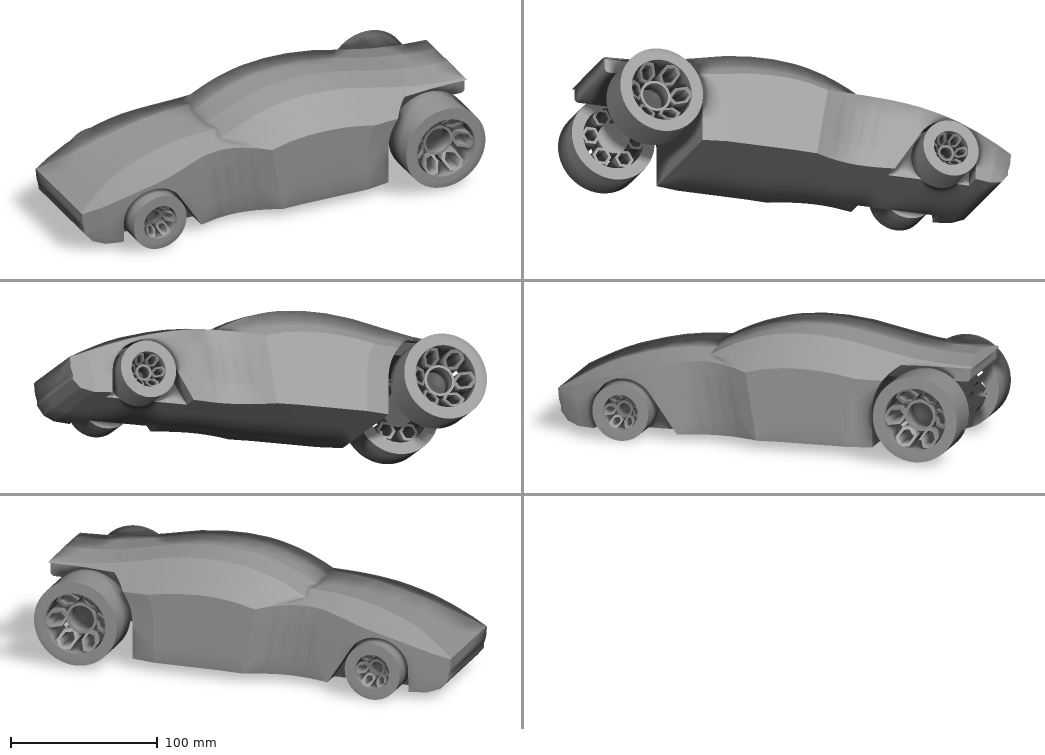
import cadquery as cq
import math


OVERALL_WIDTH = 125.7

REAR_TIRE_RADIUS = 30.0
REAR_RIM_RADIUS = 23.7
REAR_WHEEL_Y = 115.5
REAR_WHEEL_Z = 32.2
REAR_WHEEL_INNER_X = 35.0
REAR_WHEEL_OUTER_X = OVERALL_WIDTH / 2
REAR_HEX_CIRCLE = 16.0
REAR_HEX_OUTER = 11.7
REAR_HEX_INNER = 8.0
REAR_HUB_RADIUS = 10.8
REAR_BORE_RADIUS = 9.0
REAR_HUB_RECESS = 12.3
REAR_RIM_WALL = 2.0

FRONT_TIRE_RADIUS = 20.0
FRONT_RIM_RADIUS = 13.8
FRONT_WHEEL_Y = -96.5
FRONT_WHEEL_Z = FRONT_TIRE_RADIUS
FRONT_WHEEL_INNER_X = 30.5
FRONT_WHEEL_OUTER_X = 55.5
FRONT_HEX_CIRCLE = 9.0
FRONT_HEX_OUTER = 7.0
FRONT_HEX_INNER = 4.5
FRONT_HUB_RADIUS = 6.0
FRONT_BORE_RADIUS = 4.0
FRONT_HUB_RECESS = 10.0
FRONT_RIM_WALL = 1.5
FRONT_AXLE_HOLE_RADIUS = 1.8

SPOKE_COUNT = 6
HEX_SIDES = 6
HEX_CORNER_RATIO = 2 / math.sqrt(3)
SPOKE_RECESS = 1.5
HUB_FLOOR = 2.3

HALF_WIDTH = 49.8
REACH = 175.8
SECTION_X = 58.5
TOOL_BOTTOM = -58.5
TOOL_TOP = 88.0

CANOPY_SPINE = [
    (152.5, 67.7), (123.0, 68.3), (98.8, 71.2), (77.5, 75.5), (58.5, 79.5), (30.8, 81.8),
    (3.0, 79.5), (-23.5, 71.0), (-39.3, 62.7), (-58.5, 51.0),
]
CANOPY_FLAT_X = 10.3
CANOPY_RIDGE_X = 30.5
CANOPY_RIDGE_DROP = 3.5
CANOPY_SIDE_SLOPE = 1.02

HOOD_SPINE = [
    (0.0, 60.7), (-38.7, 61.8), (-52.8, 61.3), (-71.5, 59.0), (-92.0, 54.0), (-112.8, 47.0),
    (-126.3, 40.5), (-146.5, 29.0), (-152.5, 25.5),
]
HOOD_SHARED_POINTS = 4
HOOD_SIDE_SPINE = HOOD_SPINE[:HOOD_SHARED_POINTS] + [
    (-92.0, 54.2), (-112.8, 47.8), (-126.3, 42.2), (-146.5, 33.0), (-152.5, 30.2),
]
HOOD_CREASE_X = 20.0
HOOD_SIDE_SLOPE = 0.27

PLAN_Z = 52.8
PLAN_LEAN = 0.17
WAIST = [
    (HALF_WIDTH, -9.5), (43.7, -23.5), (40.2, -41.0), (42.0, -60.0), (46.0, -77.0),
    (47.5, -92.3), (44.8, -120.7), (41.0, -138.3),
]
NOSE_TIP = (35.8, -153.0)

DECK_Z = 62.7
TAIL_Y = 146.5
TAIL_SLOPE = 0.85
TAIL_BLOCK_Y = 145.0
TAIL_BLOCK_HALF_WIDTH = 30.5
TAIL_BLOCK_Z = 53.0
TAIL_BLOCK_ROUND = 3.0
NOSE = [(-146.5, 29.0), (-146.0, 21.0), (-144.5, 16.7), (-144.5, 13.2), (-139.2, 7.0), (-130.7, 4.5)]
FLOOR_FRONT = (-61.5, 4.5)
FLOOR_REAR_Z = 6.2
FLOOR_REAR_Y = 14.7

ARCH_RADIUS = 35.5
FLARE_RADIUS = 52.2
FLARE_DEPTH = 3.2
WELL_RADIUS = 22.0
WELL_FOOT_Y = -59.8


def side_face_wire(spine, x, lift):
    """Closed wire in the plane at x: a smooth spine on top, straight down to TOOL_BOTTOM."""
    points = [cq.Vector(x, y, z + lift) for y, z in spine]
    first, last = points[0], points[-1]
    low_last = cq.Vector(x, last.y, TOOL_BOTTOM)
    low_first = cq.Vector(x, first.y, TOOL_BOTTOM)
    return cq.Wire.assembleEdges([
        cq.Edge.makeSpline(points),
        cq.Edge.makeLine(last, low_last),
        cq.Edge.makeLine(low_last, low_first),
        cq.Edge.makeLine(low_first, first),
    ])


def roof_strip(spine, x_start, x_end, lift, slope):
    """Solid under a spine that starts at x_start, raised by lift, and falls by slope toward x_end."""
    width = x_end - x_start
    wire = side_face_wire(spine, x_start, lift)
    return cq.Workplane(cq.Solid.extrudeLinear(wire, [], cq.Vector(width, 0, -slope * width)))


def canopy():
    solid = roof_strip(CANOPY_SPINE, -CANOPY_FLAT_X, CANOPY_FLAT_X, 0, 0)
    shallow_slope = CANOPY_RIDGE_DROP / (CANOPY_RIDGE_X - CANOPY_FLAT_X)
    strips = [
        roof_strip(CANOPY_SPINE, CANOPY_FLAT_X, CANOPY_RIDGE_X, 0, shallow_slope),
        roof_strip(CANOPY_SPINE, CANOPY_RIDGE_X, SECTION_X, -CANOPY_RIDGE_DROP, CANOPY_SIDE_SLOPE),
    ]
    for strip in strips:
        solid = solid.union(strip).union(strip.mirror("YZ"))
    return solid


def hood():
    centre = roof_strip(HOOD_SPINE, -SECTION_X, SECTION_X, 0, 0)
    lift = HOOD_SIDE_SLOPE * (SECTION_X + HOOD_CREASE_X)
    side = roof_strip(HOOD_SIDE_SPINE, -SECTION_X, SECTION_X, lift, HOOD_SIDE_SLOPE)
    return centre.intersect(side).intersect(side.mirror("YZ"))


def plan_prism():
    """The plan outline carried down along the lean of the side walls."""
    shift = PLAN_LEAN * (TOOL_TOP - PLAN_Z)
    right = [(x, y - shift) for x, y in WAIST]
    left = [(-x, y) for x, y in reversed(right)]
    nose_x, nose_y = NOSE_TIP
    outline = (
        cq.Workplane("XY", origin=(0, 0, TOOL_TOP))
        .moveTo(HALF_WIDTH, REACH)
        .lineTo(*right[0])
        .spline(right[1:], includeCurrent=True)
        .lineTo(nose_x, nose_y - shift)
        .lineTo(-nose_x, nose_y - shift)
        .lineTo(*left[0])
        .spline(left[1:], includeCurrent=True)
        .lineTo(-HALF_WIDTH, REACH)
        .close()
        .val()
    )
    direction = cq.Vector(0, PLAN_LEAN * TOOL_TOP, -TOOL_TOP)
    return cq.Workplane(cq.Solid.extrudeLinear(outline, [], direction))


def side_prism():
    """The side outline carried across the full width."""
    round_y = TAIL_BLOCK_Y - TAIL_BLOCK_ROUND
    outline = (
        cq.Workplane("YZ", origin=(-SECTION_X, 0, 0))
        .moveTo(TAIL_Y - TAIL_SLOPE * (TOOL_TOP - DECK_Z), TOOL_TOP)
        .lineTo(TAIL_Y, DECK_Z)
        .lineTo(TAIL_BLOCK_Y, DECK_Z)
        .lineTo(TAIL_BLOCK_Y, TAIL_BLOCK_Z + TAIL_BLOCK_ROUND)
        .radiusArc((round_y, TAIL_BLOCK_Z), TAIL_BLOCK_ROUND)
        .lineTo(round_y, FLOOR_REAR_Z)
        .lineTo(FLOOR_REAR_Y, FLOOR_REAR_Z)
        .lineTo(*FLOOR_FRONT)
    )
    for point in reversed(NOSE):
        outline = outline.lineTo(*point)
    return outline.lineTo(NOSE[0][0], TOOL_TOP).close().extrude(2 * SECTION_X)


def arch_outline(plane, radius, ceiling):
    """Wheel arch outline: front wall, quarter-round over the wheel, flat ceiling to the rear."""
    rise = ceiling - REAR_WHEEL_Z
    end_angle = math.acos(rise / radius)
    mid_angle = (end_angle + math.pi / 2) / 2

    def on_arc(angle):
        return REAR_WHEEL_Y - radius * math.sin(angle), REAR_WHEEL_Z + radius * math.cos(angle)

    return (
        plane.moveTo(REAR_WHEEL_Y - radius, TOOL_BOTTOM)
        .lineTo(REAR_WHEEL_Y - radius, REAR_WHEEL_Z)
        .threePointArc(on_arc(mid_angle), on_arc(end_angle))
        .lineTo(REACH, ceiling)
        .lineTo(REACH, TOOL_BOTTOM)
        .close()
    )


def rear_arch_tools():
    """Space around the rear wheels, below the tail block, and the flares at the arch mouths."""
    under_block = arch_outline(
        cq.Workplane("YZ", origin=(-SECTION_X, 0, 0)), ARCH_RADIUS, TAIL_BLOCK_Z
    ).extrude(2 * SECTION_X)
    beside_block = arch_outline(
        cq.Workplane("YZ", origin=(TAIL_BLOCK_HALF_WIDTH, 0, 0)), ARCH_RADIUS, DECK_Z
    ).extrude(SECTION_X - TAIL_BLOCK_HALF_WIDTH)
    mouth = arch_outline(
        cq.Workplane("YZ", origin=(HALF_WIDTH - FLARE_DEPTH, 0, 0)), ARCH_RADIUS, DECK_Z
    )
    flare = arch_outline(
        mouth.workplane(offset=FLARE_DEPTH), FLARE_RADIUS, DECK_Z
    ).loft(ruled=True)
    return [under_block, beside_block, beside_block.mirror("YZ"), flare, flare.mirror("YZ")]


def wheel_well():
    """Right front wheel well: round over the wheel, a tangent slope behind, upright ahead."""
    foot_dy = WELL_FOOT_Y - FRONT_WHEEL_Y
    foot_dz = FLOOR_FRONT[1] - FRONT_WHEEL_Z
    tangent_angle = math.atan2(foot_dz, foot_dy) + math.acos(WELL_RADIUS / math.hypot(foot_dy, foot_dz))
    tangent = (
        FRONT_WHEEL_Y + WELL_RADIUS * math.cos(tangent_angle),
        FRONT_WHEEL_Z + WELL_RADIUS * math.sin(tangent_angle),
    )
    top = (FRONT_WHEEL_Y, FRONT_WHEEL_Z + WELL_RADIUS)
    front_y = FRONT_WHEEL_Y - WELL_RADIUS
    return (
        cq.Workplane("YZ", origin=(FRONT_WHEEL_INNER_X, 0, 0))
        .moveTo(WELL_FOOT_Y, 0)
        .lineTo(WELL_FOOT_Y, FLOOR_FRONT[1])
        .lineTo(*tangent)
        .threePointArc(top, (front_y, FRONT_WHEEL_Z))
        .lineTo(front_y, 0)
        .close()
        .extrude(SECTION_X - FRONT_WHEEL_INNER_X)
    )


def front_axle_hole():
    return (
        cq.Workplane("YZ", origin=(-SECTION_X, FRONT_WHEEL_Y, FRONT_WHEEL_Z))
        .circle(FRONT_AXLE_HOLE_RADIUS)
        .extrude(2 * SECTION_X)
    )


def make_body():
    shell = canopy().union(hood())
    shell = shell.intersect(plan_prism()).intersect(side_prism())
    well = wheel_well()
    for tool in [*rear_arch_tools(), well, well.mirror("YZ"), front_axle_hole()]:
        shell = shell.cut(tool)
    return shell


def make_tire(tire_radius, rim_radius, width):
    return cq.Workplane("YZ").circle(tire_radius).circle(rim_radius).extrude(width)


def make_rim(
    rim_radius, wall, width, hub_radius, bore_radius, hub_recess, hex_circle, hex_outer, hex_inner
):
    """Rim ring joined to a bored hub by a dished circle of hexagonal tubes; the inner face is at x = 0."""
    def hexagons(across_flats):
        return (
            cq.Workplane("YZ")
            .polarArray(hex_circle, 0, 360, SPOKE_COUNT)
            .polygon(HEX_SIDES, across_flats * HEX_CORNER_RATIO)
            .extrude(width)
        )

    inside_radius = rim_radius - wall
    ring = cq.Workplane("YZ").circle(rim_radius).circle(inside_radius).extrude(width)
    hub_end = width - hub_recess
    dish = (
        cq.Workplane("XY")
        .moveTo(0, 0)
        .lineTo(hub_end, 0)
        .lineTo(hub_end, hub_radius)
        .lineTo(width - SPOKE_RECESS, inside_radius)
        .lineTo(width - SPOKE_RECESS, rim_radius)
        .lineTo(0, rim_radius)
        .close()
        .revolve(360, (0, 0, 0), (1, 0, 0))
    )
    spokes = hexagons(hex_outer).cut(hexagons(hex_inner)).intersect(dish)
    hub = cq.Workplane("YZ").circle(hub_radius).extrude(hub_end)
    bore = cq.Workplane("YZ", origin=(HUB_FLOOR, 0, 0)).circle(bore_radius).extrude(width)
    return ring.union(spokes).union(hub).cut(bore)


rear_width = REAR_WHEEL_OUTER_X - REAR_WHEEL_INNER_X
rear_tire = make_tire(REAR_TIRE_RADIUS, REAR_RIM_RADIUS, rear_width)
rear_rim = make_rim(
    REAR_RIM_RADIUS, REAR_RIM_WALL, rear_width, REAR_HUB_RADIUS, REAR_BORE_RADIUS, REAR_HUB_RECESS,
    REAR_HEX_CIRCLE, REAR_HEX_OUTER, REAR_HEX_INNER,
)

front_width = FRONT_WHEEL_OUTER_X - FRONT_WHEEL_INNER_X
front_tire = make_tire(FRONT_TIRE_RADIUS, FRONT_RIM_RADIUS, front_width)
front_rim = make_rim(
    FRONT_RIM_RADIUS, FRONT_RIM_WALL, front_width, FRONT_HUB_RADIUS, FRONT_BORE_RADIUS, FRONT_HUB_RECESS,
    FRONT_HEX_CIRCLE, FRONT_HEX_OUTER, FRONT_HEX_INNER,
).cut(cq.Workplane("YZ").circle(FRONT_AXLE_HOLE_RADIUS).extrude(front_width))

rear_place = (REAR_WHEEL_INNER_X, REAR_WHEEL_Y, REAR_WHEEL_Z)
front_place = (FRONT_WHEEL_INNER_X, FRONT_WHEEL_Y, FRONT_WHEEL_Z)
wheel_bodies = []
for wheel_part, place in [
    (rear_tire, rear_place), (rear_rim, rear_place), (front_tire, front_place), (front_rim, front_place),
]:
    right_part = wheel_part.translate(place)
    wheel_bodies.append(right_part.solids().val())
    wheel_bodies.append(right_part.mirror("YZ").solids().val())

body = make_body()
result = cq.Compound.makeCompound([*body.solids().vals(), *wheel_bodies])